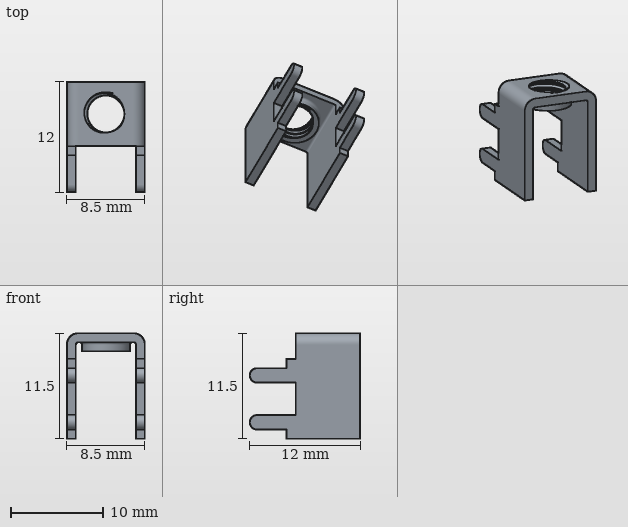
import cadquery as cq
import math

width = 8.5
height = 11.5
sheet = 1.0
plate_depth = 7.0
inner_bend_radius = 0.25
outer_bend_radius = inner_bend_radius + sheet

shoulder_reach = 1.0
shoulder_height = 1.0
pin_width = 1.6
pin_pitch = 5.1
total_depth = 12.0
lower_pin_bottom = shoulder_height
upper_pin_bottom = lower_pin_bottom + pin_pitch
shoulder_depth = plate_depth + shoulder_reach

hole_y = -plate_depth / 2
collar_diameter = 5.25
collar_length = 1.0
collar_fillet = 0.25
minor_radius = 2.0
thread_pitch = 0.7
thread_crest = thread_pitch / 4
thread_root = thread_pitch / 8
flank_angle = 30.0
groove_overlap = 0.1
thread_turns = 4.5
turns_above_top = 0.5
bore_seam_angle = 90.0
thread_top_angle = 150.0


def make_channel():
    """U-shaped sheet, open downwards, as deep as the longest pin."""
    outer = cq.Workplane("XZ").rect(width, 2 * height).extrude(total_depth)
    outer = outer.edges("|Y and >Z").fillet(outer_bend_radius)
    inner = cq.Workplane("XZ").rect(width - 2 * sheet, 2 * (height - sheet)).extrude(total_depth)
    inner = inner.edges("|Y and >Z").fillet(inner_bend_radius)
    return outer.cut(inner)


def side_bar(depth, bottom, top):
    """Full-width bar reaching from Y = 0 forwards to the given depth."""
    base = cq.Workplane("XY", origin=(0, -depth / 2, bottom)).rect(width, depth)
    return base.extrude(top - bottom)


def make_pin(bottom):
    """Full-width pin with a round end."""
    tip_radius = pin_width / 2
    bar = side_bar(total_depth - tip_radius, bottom, bottom + pin_width)
    tip = (
        cq.Workplane("YZ")
        .center(tip_radius - total_depth, bottom + tip_radius)
        .circle(tip_radius)
        .extrude(width / 2, both=True)
    )
    return bar.union(tip)


def make_side_outline():
    """Leg outline seen along X, as a block across the full width."""
    upper_shoulder_bottom = upper_pin_bottom + pin_width
    outline = side_bar(plate_depth, 0, height)
    outline = outline.union(side_bar(shoulder_depth, 0, shoulder_height))
    outline = outline.union(
        side_bar(shoulder_depth, upper_shoulder_bottom, upper_shoulder_bottom + shoulder_height)
    )
    for bottom in (lower_pin_bottom, upper_pin_bottom):
        outline = outline.union(make_pin(bottom))
    return outline


def make_collar():
    """Turned collar with a concave fillet where it meets the plate."""
    radius = collar_diameter / 2
    plate_bottom = height - sheet
    flare_radius = radius + collar_fillet
    arc_offset = collar_fillet * math.sqrt(0.5)
    profile = (
        cq.Workplane("XZ")
        .moveTo(0, plate_bottom - collar_length)
        .lineTo(radius, plate_bottom - collar_length)
        .lineTo(radius, plate_bottom - collar_fillet)
        .threePointArc(
            (flare_radius - arc_offset, plate_bottom - collar_fillet + arc_offset),
            (flare_radius, plate_bottom),
        )
        .lineTo(flare_radius, plate_bottom + sheet / 2)
        .lineTo(0, plate_bottom + sheet / 2)
        .close()
    )
    return profile.revolve(360, (0, 0, 0), (0, 1, 0)).translate((0, hole_y, 0))


def make_bore():
    """Plain bore at the minor diameter of the thread, through plate and collar."""
    collar_bottom = height - sheet - collar_length
    bore = cq.Workplane("XY", origin=(0, hole_y, collar_bottom)).circle(minor_radius)
    bore = bore.extrude(sheet + collar_length)
    return bore.rotate((0, hole_y, 0), (0, hole_y, 1), bore_seam_angle)


def make_thread_groove():
    """Right-hand helical groove with 60 degree flanks and a flat root."""
    flank_slope = math.tan(math.radians(flank_angle))
    half_root = thread_root / 2
    half_groove = (thread_pitch - thread_crest) / 2
    half_mouth = half_groove + flank_slope * groove_overlap
    major_radius = minor_radius + (half_groove - half_root) / flank_slope
    inner_radius = minor_radius - groove_overlap
    path = cq.Wire.makeHelix(thread_pitch, thread_turns * thread_pitch, minor_radius)
    groove = (
        cq.Workplane("XZ")
        .moveTo(inner_radius, -half_mouth)
        .lineTo(major_radius, -half_root)
        .lineTo(major_radius, half_root)
        .lineTo(inner_radius, half_mouth)
        .close()
        .sweep(cq.Workplane(path), isFrenet=True)
    )
    turns_below_top = thread_turns - turns_above_top
    start_height = height - turns_below_top * thread_pitch
    start_angle = thread_top_angle - 360 * turns_below_top
    groove = groove.rotate((0, 0, 0), (0, 0, 1), start_angle)
    return groove.translate((0, hole_y, start_height))


body = make_channel().intersect(make_side_outline())
body = body.union(make_collar())
body = body.cut(make_bore())
result = body.cut(make_thread_groove())